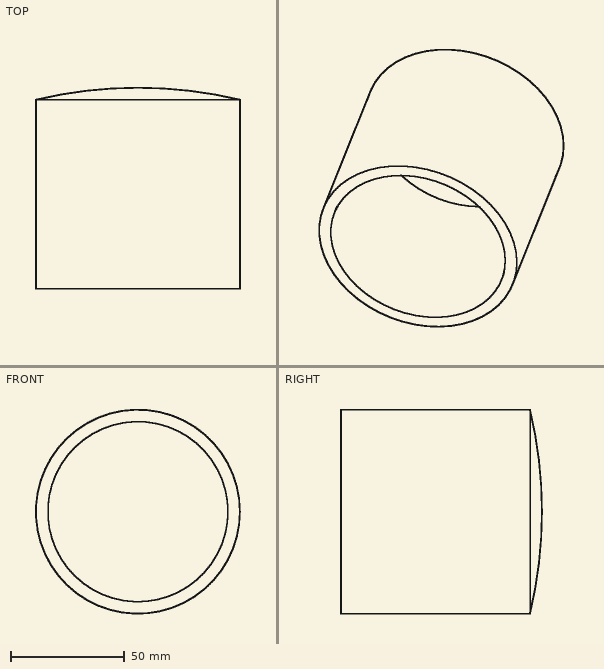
import cadquery as cq
import math

outer_diameter = 90.0
wall = 5.3
overall_length = 88.65
dome_height = 5.3

outer_radius = outer_diameter / 2
inner_radius = outer_radius - wall

dome_radius = (outer_radius**2 + dome_height**2) / (2 * dome_height)
dome_center = overall_length - dome_radius
inner_dome_radius = dome_radius - wall


def domed_cylinder(radius, sphere_radius):
    """Solid about Y with a flat end at Y = 0 and a spherical end centred at dome_center."""
    edge_y = dome_center + math.sqrt(sphere_radius**2 - radius**2)
    mid_y = dome_center + math.sqrt(sphere_radius**2 - (radius / 2) ** 2)
    apex_y = dome_center + sphere_radius
    return (
        cq.Workplane("XY")
        .lineTo(radius, 0)
        .lineTo(radius, edge_y)
        .threePointArc((radius / 2, mid_y), (0, apex_y))
        .close()
        .revolve(360, (0, 0), (0, 1))
    )


body = domed_cylinder(outer_radius, dome_radius)
cavity = domed_cylinder(inner_radius, inner_dome_radius)
result = body.cut(cavity)